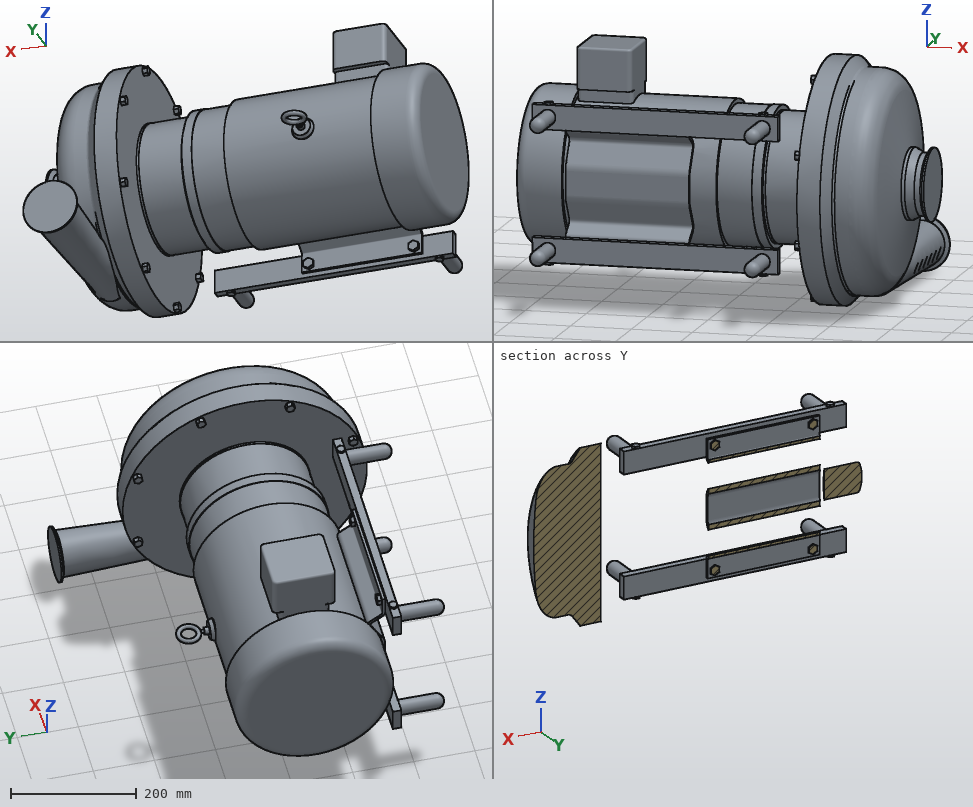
import cadquery as cq
import math


fan_cover_end = 77.5
fan_cover_radius = 259.59 / 2
fan_cover_round = 18.5
motor_end = 329.0
motor_radius = 242.82 / 2
end_bell_end = 386.0
end_bell_radius = 228.09 / 2
adapter_rim_end = 402.3
adapter_rim_radius = 230.0 / 2
neck_radius = 213.0 / 2
neck_collar_step = 0.5
neck_collar_radius = neck_radius + neck_collar_step
neck_collar_length = 3.9

flange_back = 482.0
flange_front = 519.8
flange_radius = 400.0 / 2
volute_radius = 182.4
volute_shoulder = 539.2
volute_foot_round = 5.6
volute_crown_start = 560.7
volute_crown_round = 40.6
casing_face_end = 616.4

overall_length = 653.72
inlet_hub_radius = 117.01 / 2
inlet_hub_end = 622.3
inlet_tube_start = 636.0
inlet_tube_radius = 101.73 / 2
inlet_rim_radius = 118.92 / 2
inlet_rim_thickness = 3.2
inlet_ferrule_length = 8.2

outlet_x = 561.0
outlet_end_y = 292.05
outlet_rim_radius = 90.91 / 2
outlet_tube_radius = 76.33 / 2
outlet_throat_radius = 28.0
outlet_z = -157.5
outlet_rim_thickness = 2.8
outlet_ferrule_length = 6.4
outlet_tube_length = 12.4

flange_bolt_count = 8
flange_bolt_circle_radius = 190.6
flange_bolt_flats = 13.0
flange_bolt_head = 8.2

box_start_x = 80.9
box_length = 91.0
box_width = 103.0
box_bottom_z = 135.5
box_top_z = 204.27
box_corner_round = 8.0
box_top_round = 4.0
box_base_width = 82.0
box_base_round = 6.5
box_center_x = box_start_x + box_length / 2

eye_x = 195.3
eye_center_y = 161.6
eye_mean_radius = 16.2
eye_wire_radius = 4.1
eye_neck_radius = 5.75 / 2
eye_collar_radius = 12.14 / 2
eye_collar_end_y = 136.4
eye_boss_end_y = 128.5
eye_boss_base_radius = 18.5
eye_boss_top_radius = 15.2

foot_start_x = 84.9
foot_end_x = 287.6
foot_face_y = -133.1
foot_thickness = 5.0
foot_crest_z = 26.1
foot_valley_z = 67.2
foot_valley_y = -106.4
foot_shelf_z = 84.0
foot_edge_z = 120.0
foot_crest_bend = 21.0
foot_valley_bend = 6.0
foot_shelf_bend = 7.0

overall_width = 514.95
bar_start_x = 34.0
bar_length = 403.0
bar_height = 40.0
bar_thickness = 14.0
bar_center_z = 108.0
bar_center_y = foot_face_y - bar_thickness / 2
leg_radius = 25.4 / 2
leg_end_y = outlet_end_y - overall_width
leg_inset = 25.4
leg_xs = (bar_start_x + leg_inset, bar_start_x + bar_length - leg_inset)
set_screw_flats = 12.7
set_screw_head = 3.6
foot_bolt_flats = 15.9
foot_bolt_head = 6.1
foot_bolt_inset = 12.5
foot_bolt_xs = (foot_start_x + foot_bolt_inset, foot_end_x - foot_bolt_inset)

overlap = 1.0


def across_corners(flats):
    return flats / math.cos(math.pi / 6)


def motor():
    """Fan cover, motor body, end bell and adapter neck as one turned shape."""
    return (
        cq.Workplane("XY")
        .moveTo(0, 0)
        .lineTo(0, fan_cover_radius - fan_cover_round)
        .radiusArc((fan_cover_round, fan_cover_radius), fan_cover_round)
        .lineTo(fan_cover_end, fan_cover_radius)
        .lineTo(fan_cover_end, motor_radius)
        .lineTo(motor_end, motor_radius)
        .lineTo(motor_end, end_bell_radius)
        .lineTo(end_bell_end, end_bell_radius)
        .lineTo(end_bell_end, adapter_rim_radius)
        .lineTo(adapter_rim_end, adapter_rim_radius)
        .lineTo(adapter_rim_end, neck_collar_radius)
        .lineTo(adapter_rim_end + neck_collar_length, neck_collar_radius)
        .lineTo(adapter_rim_end + neck_collar_length, neck_radius)
        .lineTo(flange_back - neck_collar_length, neck_radius)
        .lineTo(flange_back - neck_collar_length, neck_collar_radius)
        .lineTo(flange_back + overlap, neck_collar_radius)
        .lineTo(flange_back + overlap, 0)
        .close()
        .revolve(360, (0, 0), (1, 0))
    )


def casing():
    """Casing flange, volute with a rounded crown, conical face and suction ferrule."""
    half_bend = math.pi / 4
    cone_foot_x = volute_shoulder - volute_foot_round * math.sin(half_bend)
    cone_foot_r = volute_radius + volute_foot_round * (1 - math.cos(half_bend))

    crown_center_r = volute_radius - volute_crown_round
    rise = casing_face_end - volute_crown_start
    drop = crown_center_r - inlet_hub_radius
    face_tilt = math.atan2(rise, drop) - math.asin(volute_crown_round / math.hypot(rise, drop))
    crown_end_x = volute_crown_start + volute_crown_round * math.cos(face_tilt)
    crown_end_r = crown_center_r + volute_crown_round * math.sin(face_tilt)

    return (
        cq.Workplane("XY")
        .moveTo(flange_back, 0)
        .lineTo(flange_back, flange_radius)
        .lineTo(flange_front, flange_radius)
        .lineTo(cone_foot_x, cone_foot_r)
        .radiusArc((volute_shoulder, volute_radius), -volute_foot_round)
        .lineTo(volute_crown_start, volute_radius)
        .radiusArc((crown_end_x, crown_end_r), volute_crown_round)
        .lineTo(casing_face_end, inlet_hub_radius)
        .lineTo(inlet_hub_end, inlet_hub_radius)
        .lineTo(inlet_tube_start, inlet_tube_radius)
        .lineTo(overall_length - inlet_ferrule_length, inlet_tube_radius)
        .lineTo(overall_length - inlet_rim_thickness, inlet_rim_radius)
        .lineTo(overall_length, inlet_rim_radius)
        .lineTo(overall_length, 0)
        .close()
        .revolve(360, (0, 0), (1, 0))
    )


def outlet():
    """Discharge cone that widens from the volute to a short tube and a ferrule."""
    return (
        cq.Workplane("XY")
        .moveTo(0, 0)
        .lineTo(outlet_throat_radius, 0)
        .lineTo(outlet_tube_radius, outlet_end_y - outlet_tube_length)
        .lineTo(outlet_tube_radius, outlet_end_y - outlet_ferrule_length)
        .lineTo(outlet_rim_radius, outlet_end_y - outlet_rim_thickness)
        .lineTo(outlet_rim_radius, outlet_end_y)
        .lineTo(0, outlet_end_y)
        .close()
        .revolve(360, (0, 0), (0, 1))
        .translate((outlet_x, 0, outlet_z))
    )


def flange_bolts():
    """Hexagon heads on the motor side of the casing flange."""
    half_pitch = 180 / flange_bolt_count
    return (
        cq.Workplane("YZ", origin=(flange_back - flange_bolt_head, 0, 0))
        .polarArray(flange_bolt_circle_radius, half_pitch, 360, flange_bolt_count)
        .polygon(6, across_corners(flange_bolt_flats))
        .extrude(flange_bolt_head + overlap)
    )


def conduit_box():
    """Box with rounded edges on a narrower base that sinks into the motor body."""
    box = (
        cq.Workplane("XY", origin=(box_center_x, 0, box_bottom_z))
        .rect(box_length, box_width)
        .extrude(box_top_z - box_bottom_z)
        .edges("|Z")
        .fillet(box_corner_round)
        .faces(">Z")
        .edges()
        .fillet(box_top_round)
    )
    base_bottom_z = math.sqrt(motor_radius**2 - (box_base_width / 2) ** 2) - overlap
    base = (
        cq.Workplane("XY", origin=(box_center_x, 0, base_bottom_z))
        .rect(box_length, box_base_width)
        .extrude(box_bottom_z - base_bottom_z)
        .edges("|Z")
        .fillet(box_base_round)
    )
    return box.union(base)


def lifting_eye():
    """Ring on a stepped stem that stands on a conical boss."""
    boss_root_y = motor_radius - 2 * overlap
    stem = (
        cq.Workplane("XY")
        .moveTo(0, boss_root_y)
        .lineTo(eye_boss_base_radius, boss_root_y)
        .lineTo(eye_boss_base_radius, motor_radius)
        .lineTo(eye_boss_top_radius, eye_boss_end_y)
        .lineTo(eye_collar_radius, eye_boss_end_y)
        .lineTo(eye_collar_radius, eye_collar_end_y)
        .lineTo(eye_neck_radius, eye_collar_end_y)
        .lineTo(eye_neck_radius, eye_center_y - eye_mean_radius)
        .lineTo(0, eye_center_y - eye_mean_radius)
        .close()
        .revolve(360, (0, 0), (0, 1))
        .translate((eye_x, 0, 0))
    )
    ring = cq.Workplane(cq.Solid.makeTorus(eye_mean_radius, eye_wire_radius))
    return stem.union(ring.translate((eye_x, eye_center_y, 0)))


def motor_foot():
    """Bent sheet with a central crest, two valleys against the motor and two upright shelves."""
    half_outline = [
        (foot_face_y, foot_crest_z),
        (foot_valley_y, foot_valley_z),
        (foot_face_y, foot_shelf_z),
        (foot_face_y, foot_edge_z),
        (0, foot_edge_z),
    ]
    mirrored_half = [(y, -z) for y, z in reversed(half_outline)]
    block = (
        cq.Workplane("YZ", origin=(foot_start_x, 0, 0))
        .polyline(mirrored_half + half_outline)
        .close()
        .extrude(foot_end_x - foot_start_x)
    )

    bends = (
        (foot_face_y, foot_crest_z, foot_crest_bend),
        (foot_valley_y, foot_valley_z, foot_valley_bend),
        (foot_face_y, foot_shelf_z, foot_shelf_bend),
    )
    for bend_y, bend_z, bend_radius in bends:
        for side in (1, -1):
            corner = (foot_start_x, bend_y, side * bend_z)
            block = block.edges("|X").edges(cq.NearestToPointSelector(corner)).fillet(bend_radius)

    return block.faces("|X or >Y or |Z").shell(-foot_thickness)


def mounting_bar(side):
    """Bar with its two legs, set screws and foot bolts; side is +1 for the upper bar, -1 for the lower."""
    bar_z = side * bar_center_z
    bar_center_x = bar_start_x + bar_length / 2
    bar = cq.Workplane("XY").box(bar_length, bar_thickness, bar_height)
    bar = bar.translate((bar_center_x, bar_center_y, bar_z))

    dome_start_y = leg_end_y + leg_radius
    for x in leg_xs:
        leg = (
            cq.Workplane("XZ", origin=(x, bar_center_y, bar_z))
            .circle(leg_radius)
            .extrude(bar_center_y - dome_start_y)
        )
        dome = cq.Workplane("XY").sphere(leg_radius).translate((x, dome_start_y, bar_z))
        set_screw = (
            cq.Workplane("XY", origin=(x, bar_center_y, bar_z))
            .polygon(6, across_corners(set_screw_flats))
            .extrude(side * (bar_height / 2 + set_screw_head))
        )
        bar = bar.union(leg).union(dome).union(set_screw)

    bolt_base_y = foot_face_y + foot_thickness / 2
    for x in foot_bolt_xs:
        bolt = (
            cq.Workplane("XZ", origin=(x, bolt_base_y, bar_z))
            .transformed(rotate=(0, 0, 90))
            .polygon(6, across_corners(foot_bolt_flats))
            .extrude(-(foot_thickness / 2 + foot_bolt_head))
        )
        bar = bar.union(bolt)
    return bar


def pump():
    parts = [
        casing(),
        outlet(),
        flange_bolts(),
        conduit_box(),
        lifting_eye(),
        motor_foot(),
        mounting_bar(1),
        mounting_bar(-1),
    ]
    body = motor()
    for part in parts:
        body = body.union(part)
    return body


result = pump()